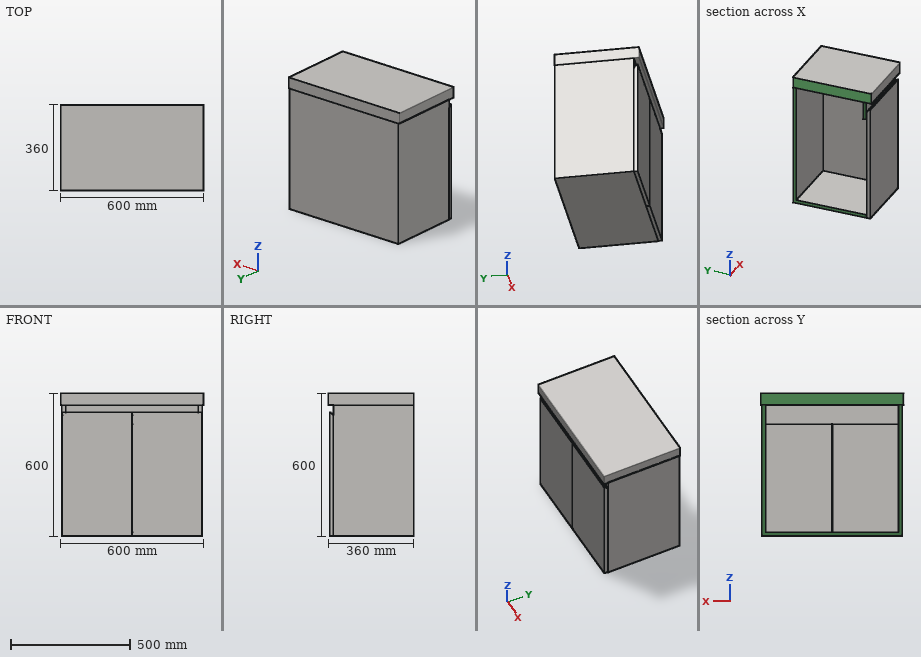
import cadquery as cq

top_width = 600
top_depth = 360
top_height = 50
top_edge_radius = 1

overall_height = 600
side_overhang = 5
panel_thickness = 17
carcass_width = top_width - 2 * side_overhang
carcass_depth = 338
carcass_height = overall_height - top_height
inner_width = carcass_width - 2 * panel_thickness

finger_gap = 30
rail_height = 80

door_thickness = 16
door_side_reveal = 2.5
door_center_gap = 2.5
door_height = carcass_height - finger_gap
door_width = (carcass_width - 2 * door_side_reveal - door_center_gap) / 2
door_bevel = 12

back_y = top_depth / 2
carcass_front_y = back_y - carcass_depth
door_front_y = carcass_front_y - door_thickness


def box(width, depth, height, center_x, front_y, bottom_z):
    """Box centred on center_x that starts at front_y and bottom_z."""
    return (
        cq.Workplane("XY")
        .box(width, depth, height, centered=(True, False, False))
        .translate((center_x, front_y, bottom_z))
    )


def make_countertop():
    """Slab with every edge rounded except the long ones along the back."""
    slab = box(top_width, top_depth, top_height, 0, -top_depth / 2, carcass_height)
    return slab.edges("not (|X and >Y)").fillet(top_edge_radius)


def make_front_rail():
    """Rail between the side panels, flush with their front edges."""
    rail_bottom = carcass_height - rail_height
    return box(inner_width, panel_thickness, rail_height, 0, carcass_front_y, rail_bottom)


def make_carcass():
    """Cabinet open at the front and top: two sides, a bottom and a back."""
    shell = box(carcass_width, carcass_depth, carcass_height, 0, carcass_front_y, 0)
    inside = box(
        inner_width,
        carcass_depth - panel_thickness,
        carcass_height - panel_thickness,
        0,
        carcass_front_y,
        panel_thickness,
    )
    return shell.cut(inside)


def make_door(side):
    """Left (side = -1) or right (side = 1) door, its top bevelled at the back as a finger grip."""
    center_x = side * (door_center_gap + door_width) / 2
    door = box(door_width, door_thickness, door_height, center_x, door_front_y, 0)
    return door.faces(">Z").edges(">Y").chamfer(door_bevel)


countertop = make_countertop()
carcass = make_carcass()
front_rail = make_front_rail()
doors = [make_door(side) for side in (-1, 1)]

result = cq.Compound.makeCompound(
    [countertop.val(), carcass.val(), front_rail.val(), *[door.val() for door in doors]]
)